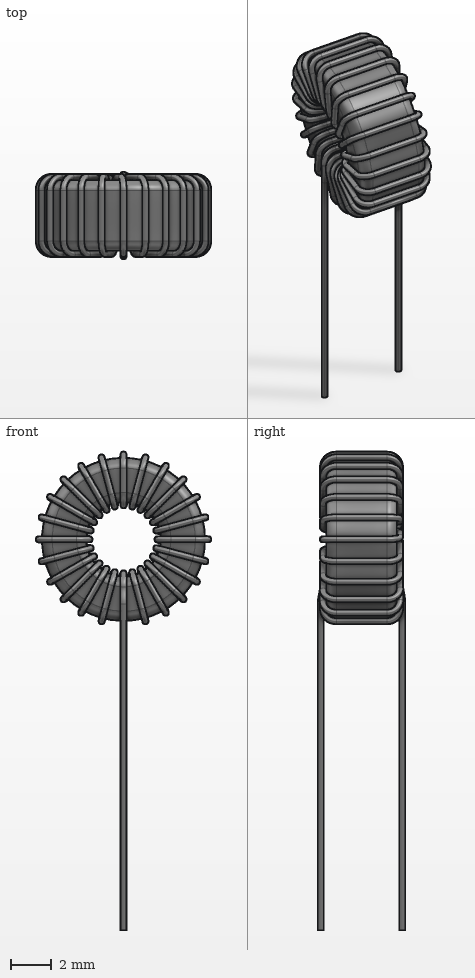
import cadquery as cq
import math


CORE_OUTER_RADIUS = 8.0 / 2
CORE_INNER_RADIUS = 3.65 / 2
CORE_WIDTH = 3.48
CORE_CORNER_RADIUS = 0.5

WIRE_DIAMETER = 0.3
TURN_PITCH = 15
TURN_COUNT = 360 // TURN_PITCH - 1
BOTTOM_ANGLE = -90

TOTAL_HEIGHT = 23.48
LEAD_SPREAD = 4.3
LEAD_START_RADIUS = 3.15

WIRE_RADIUS = WIRE_DIAMETER / 2
PATH_OUTER_RADIUS = CORE_OUTER_RADIUS + WIRE_RADIUS
PATH_INNER_RADIUS = CORE_INNER_RADIUS - WIRE_RADIUS
PATH_FACE_Y = CORE_WIDTH / 2 + WIRE_RADIUS
PATH_BEND_RADIUS = CORE_CORNER_RADIUS + WIRE_RADIUS
PATH_STRAIGHT_Y = PATH_FACE_Y - PATH_BEND_RADIUS

LEAD_Y = LEAD_SPREAD / 2 - WIRE_RADIUS
LEAD_END_Z = PATH_OUTER_RADIUS + WIRE_RADIUS - TOTAL_HEIGHT

FRONT = -1
BACK = 1
DOWN = cq.Vector(0, 0, -1)


def ring_point(radius, angle, y):
    """Point at the given radius and angle (degrees) around the Y axis."""
    turn = math.radians(angle)
    return cq.Vector(radius * math.cos(turn), y, radius * math.sin(turn))


def make_core():
    """Ring with all four rims rounded."""
    return (
        cq.Workplane("XZ", origin=(0, CORE_WIDTH / 2, 0))
        .circle(CORE_OUTER_RADIUS)
        .circle(CORE_INNER_RADIUS)
        .extrude(CORE_WIDTH)
        .edges("%CIRCLE")
        .fillet(CORE_CORNER_RADIUS)
    )


def bend(straight_end, across, side):
    """Quarter-circle from a run along Y onto the face on the given side.

    `across` is the unit direction in which the wire then crosses that face.
    Returns the arc and its end on the face.
    """
    along_y = cq.Vector(0, side, 0)
    center = straight_end + across * PATH_BEND_RADIUS
    middle = center + (along_y - across) * (PATH_BEND_RADIUS * math.sqrt(0.5))
    face_end = center + along_y * PATH_BEND_RADIUS
    return cq.Edge.makeThreePointArc(straight_end, middle, face_end), face_end


def reversed_bend(straight_end, across, side):
    """The same quarter-circle, run from the face back to the run along Y.

    Returns the arc and its start on the face.
    """
    arc, face_end = bend(straight_end, across, side)
    return cq.Edge.makeThreePointArc(face_end, arc.positionAt(0.5), straight_end), face_end


def face_crossing(start, end, side):
    """Bend, straight run across a face and second bend, between two runs along Y."""
    across = (end - start).normalized()
    first_bend, run_start = bend(start, across, side)
    last_bend, run_end = reversed_bend(end, across * -1, side)
    return [first_bend, cq.Edge.makeLine(run_start, run_end), last_bend]


def bore_run(angle):
    """Straight run through the bore, from the front to the back."""
    return cq.Edge.makeLine(
        ring_point(PATH_INNER_RADIUS, angle, FRONT * PATH_STRAIGHT_Y),
        ring_point(PATH_INNER_RADIUS, angle, BACK * PATH_STRAIGHT_Y),
    )


def turn_path(angle):
    """One turn: slanted across the back, forward outside, radially inward, back through the bore."""
    outer_back = ring_point(PATH_OUTER_RADIUS, angle, BACK * PATH_STRAIGHT_Y)
    outer_front = ring_point(PATH_OUTER_RADIUS, angle, FRONT * PATH_STRAIGHT_Y)
    inner_front = ring_point(PATH_INNER_RADIUS, angle, FRONT * PATH_STRAIGHT_Y)
    previous_inner = ring_point(PATH_INNER_RADIUS, angle + TURN_PITCH, BACK * PATH_STRAIGHT_Y)
    return [
        *face_crossing(previous_inner, outer_back, BACK),
        cq.Edge.makeLine(outer_back, outer_front),
        *face_crossing(outer_front, inner_front, FRONT),
        bore_run(angle),
    ]


def lead_points(side):
    """Upper and lower end of the straight part of a lead."""
    return cq.Vector(0, side * LEAD_Y, -LEAD_START_RADIUS), cq.Vector(0, side * LEAD_Y, LEAD_END_Z)


def front_lead_path():
    """Up the front lead, stepping onto the core face and bending into the bore."""
    lead_top, lead_end = lead_points(FRONT)
    bore_front = ring_point(PATH_INNER_RADIUS, BOTTOM_ANGLE, FRONT * PATH_STRAIGHT_Y)
    last_bend, step_end = reversed_bend(bore_front, DOWN, FRONT)
    step = cq.Edge.makeSpline([lead_top, step_end], tangents=[DOWN * -1, DOWN * -1])
    return [cq.Edge.makeLine(lead_end, lead_top), step, last_bend, bore_run(BOTTOM_ANGLE)]


def back_lead_path():
    """From the last bore run, slanting to the centre plane and down the back lead."""
    lead_top, lead_end = lead_points(BACK)
    bore_back = ring_point(PATH_INNER_RADIUS, BOTTOM_ANGLE + TURN_PITCH, BACK * PATH_STRAIGHT_Y)
    across = cq.Vector(lead_top.x - bore_back.x, 0, lead_top.z - bore_back.z).normalized()
    first_bend, step_start = bend(bore_back, across, BACK)
    step = cq.Edge.makeSpline([step_start, lead_top], tangents=[across, DOWN])
    return [first_bend, step, cq.Edge.makeLine(lead_top, lead_end)]


def make_winding():
    """The whole wire, swept as one solid from the front lead to the back lead."""
    edges = front_lead_path()
    for turn in range(1, TURN_COUNT + 1):
        edges += turn_path(BOTTOM_ANGLE - turn * TURN_PITCH)
    edges += back_lead_path()
    path = cq.Workplane(cq.Wire.assembleEdges(edges))
    lead_end = lead_points(FRONT)[1]
    return cq.Workplane("XY", origin=lead_end.toTuple()).circle(WIRE_RADIUS).sweep(path)


core = make_core()
winding = make_winding()

result = cq.Compound.makeCompound([core.val(), winding.val()])